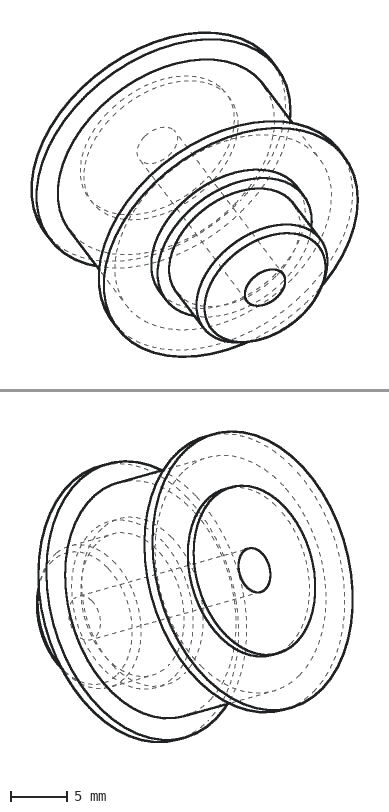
import cadquery as cq

bore_diameter = 4.0
hub_diameter = 13.0
collar_diameter = 15.3
belt_diameter = 21.5
flange_diameter = 25.2

total_length = 21.2
rim_width = 1.0
dish_depth = 0.5
left_collar_projection = 0.23
right_collar_projection = 0.75
flange_span = 14.25
hub_chamfer_length = 0.6
hub_chamfer_height = 0.5

left_rim = left_collar_projection
right_rim = left_rim + flange_span
right_collar_end = right_rim + right_collar_projection

bore_radius = bore_diameter / 2
hub_radius = hub_diameter / 2
collar_radius = collar_diameter / 2
belt_radius = belt_diameter / 2
flange_radius = flange_diameter / 2

half_section = [
    (0, bore_radius),
    (0, collar_radius),
    (left_rim + dish_depth, collar_radius),
    (left_rim + dish_depth, belt_radius),
    (left_rim, flange_radius),
    (left_rim + rim_width, flange_radius),
    (left_rim + rim_width + dish_depth, belt_radius),
    (right_rim - rim_width - dish_depth, belt_radius),
    (right_rim - rim_width, flange_radius),
    (right_rim, flange_radius),
    (right_rim - dish_depth, belt_radius),
    (right_rim - dish_depth, collar_radius),
    (right_collar_end, collar_radius),
    (right_collar_end, hub_radius),
    (total_length - hub_chamfer_length, hub_radius),
    (total_length, hub_radius - hub_chamfer_height),
    (total_length, bore_radius),
]

result = (
    cq.Workplane("XY")
    .polyline(half_section)
    .close()
    .revolve(360, (0, 0, 0), (1, 0, 0))
)